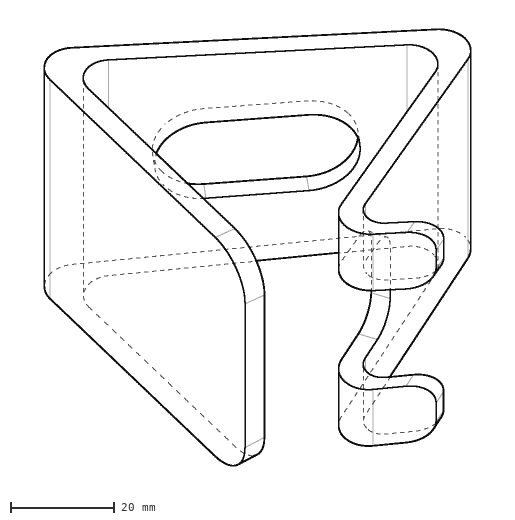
import cadquery as cq
import math

length = 83.1
depth = 73.8
front_width = 58.0
back_width = 52.5

base_length = 70.8
base_thickness = 4.65
leg_thickness = 4.1
hook_thickness = 3.0
leg_angle = math.radians(60.6)
bend_radius = 6.0
inner_bend_radius = 5.4
hook_inner_radius = 3.8
hook_bottom_y = 22.85

base_corner_radius = 10.0
tip_corner_radius = 5.0

window_length = 40.0
window_width = 20.0
window_center_y = 39.95

prong_width = 14.95
slot_floor_y = 37.7
slot_corner_radius = 6.0

margin = 2.5
pick = 0.8

slope = math.tan(leg_angle)
leg_run = leg_thickness / math.sin(leg_angle)
hook_run = hook_thickness / math.sin(leg_angle)

crown_gap = bend_radius * (1 / math.cos(leg_angle) - 1)

corner_x = bend_radius - bend_radius / math.tan(leg_angle / 2)
apex_y = depth + crown_gap
apex_x = corner_x + apex_y / slope
inner_corner = (corner_x + leg_run + base_thickness / slope, base_thickness)
inner_apex_y = apex_y - leg_run * slope
valley_y = hook_bottom_y - crown_gap
valley_x = apex_x + (inner_apex_y - valley_y) / slope
hook_inner_rise = (leg_run + hook_run) / 2 * slope
hook_inner = (valley_x + (leg_run - hook_run) / 2, valley_y + hook_inner_rise)
tip_outer = (length, valley_y + (length - valley_x) * slope)
tip_inner = (length - hook_run / 2, tip_outer[1] + hook_run / 2 * slope)


def box_between(low, high):
    """Selector for the edges whose centers lie between two corner points."""
    return cq.selectors.BoxSelector(low, high)


def round_bend(body, point, radius):
    """Round the Z edge that stands on a sharp profile corner."""
    x, y = point
    corner = box_between((x - pick, y - pick, -front_width), (x + pick, y + pick, front_width))
    return body.edges("|Z").edges(corner).fillet(radius)


def bent_strip():
    """Full-width strip: base plate, two legs and the hook, with rounded bends."""
    body = (
        cq.Workplane("XY")
        .polyline([
            (corner_x, 0),
            (base_length, 0),
            (base_length, base_thickness),
            inner_corner,
            (apex_x, inner_apex_y),
            (valley_x, valley_y),
            tip_outer,
            tip_inner,
            hook_inner,
            (apex_x, apex_y),
        ])
        .close()
        .extrude(front_width / 2, both=True)
    )
    for point in [(corner_x, 0), (apex_x, apex_y), (valley_x, valley_y)]:
        body = round_bend(body, point, bend_radius)
    for point in [inner_corner, (apex_x, inner_apex_y)]:
        body = round_bend(body, point, inner_bend_radius)
    return round_bend(body, hook_inner, hook_inner_radius)


def tapered_block(inset):
    """Block that narrows in Z toward +Y, its sloped sides set in by the inset."""
    front = front_width / 2 - inset
    back = back_width / 2 - inset
    return (
        cq.Workplane("YZ")
        .polyline([(0, -front), (depth, -back), (depth, back), (0, front)])
        .close()
        .extrude(length)
    )


def window():
    """Long hole, cut square through the left leg."""
    center_x = corner_x + window_center_y / slope
    inward = (math.sin(leg_angle), -math.cos(leg_angle), 0)
    along_leg = (math.cos(leg_angle), math.sin(leg_angle), 0)
    outer_face = cq.Plane((center_x, window_center_y, 0), along_leg, inward)
    return (
        cq.Workplane(outer_face)
        .workplane(offset=-margin)
        .slot2D(window_length, window_width)
        .extrude(leg_thickness + 2 * margin)
    )


def prong_slot():
    """Tapered slot from a floor square to the right leg out past the hook tip."""
    floor_x = apex_x + (inner_apex_y - slot_floor_y) / slope
    down_leg = (math.cos(leg_angle), -math.sin(leg_angle), 0)
    outward = (math.sin(leg_angle), math.cos(leg_angle), 0)
    floor = cq.Plane((floor_x, slot_floor_y, 0), outward, down_leg)
    reach = (length - floor_x) / math.sin(leg_angle)
    drop = (slot_floor_y - valley_y) / math.sin(leg_angle)
    region = (
        cq.Workplane(floor)
        .center(reach / 2 - margin, 0)
        .rect(reach + 2 * margin, front_width)
        .extrude(drop)
    )
    slot = tapered_block(prong_width).intersect(region)
    toward_apex = cq.selectors.DirectionMinMaxSelector(cq.Vector(down_leg), False)
    return slot.faces(toward_apex).edges("not |Z").fillet(slot_corner_radius)


def round_free_ends(body):
    """Round the corners of the base plate end and of both hook prongs."""
    plate_end = box_between(
        (base_length - pick, 0, -front_width),
        (base_length + pick, base_thickness, front_width),
    )
    body = body.edges("not |Z").edges(plate_end).fillet(base_corner_radius)
    tip = box_between(
        (tip_inner[0], tip_outer[1], -front_width),
        (length, tip_inner[1], front_width),
    )
    return body.edges("not |Z").edges(tip).fillet(tip_corner_radius)


strip = bent_strip().intersect(tapered_block(0))
result = round_free_ends(strip.cut(window()).cut(prong_slot()))